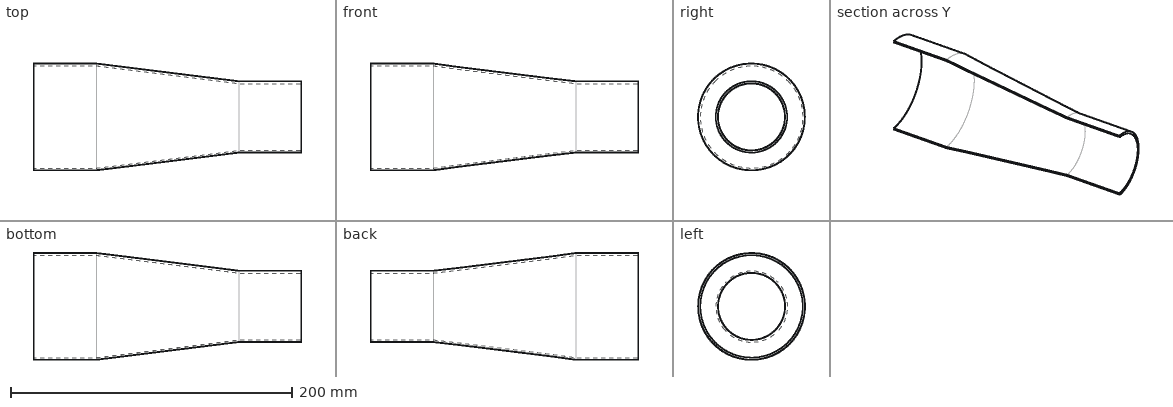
import cadquery as cq

total_length = 190.5
end_length = 44.4
large_diameter = 76.2
small_diameter = 50.9
wall = 1.65

cone_start = end_length
cone_end = total_length - end_length


def reducer_body(large_radius, small_radius):
    """Solid of revolution about X: wide cylinder, cone, narrow cylinder."""
    return (
        cq.Workplane("XY")
        .polyline([
            (0, 0),
            (0, large_radius),
            (cone_start, large_radius),
            (cone_end, small_radius),
            (total_length, small_radius),
            (total_length, 0),
        ])
        .close()
        .revolve(360, (0, 0, 0), (1, 0, 0))
    )


outside = reducer_body(large_diameter / 2, small_diameter / 2)
bore = reducer_body(large_diameter / 2 - wall, small_diameter / 2 - wall)

result = outside.cut(bore)